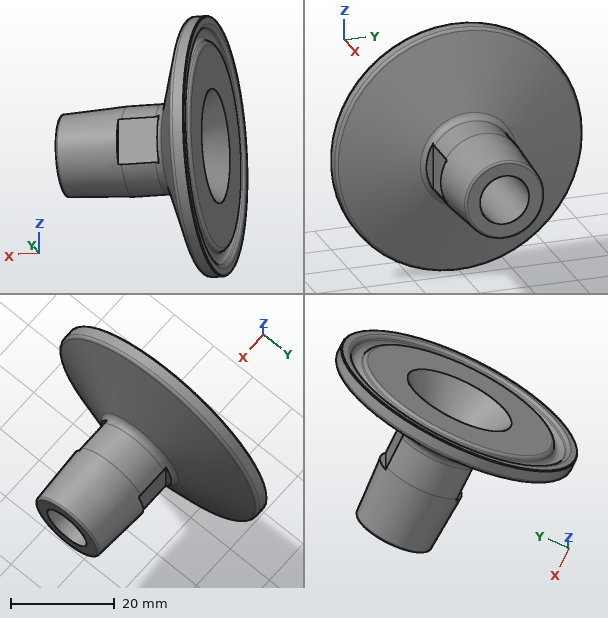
import cadquery as cq
import math

flange_radius = 25.25
length = 30.0

face_chamfer = 0.2
rim_end = 2.3
cone_start = 3.05
cone_start_radius = 24.75
cone_end = 8.45
cone_end_radius = 9.85

neck_start = 10.15
neck_end = 16.9
spigot_radius = 8.8
tip_radius = 8.05
tip_rounding = 0.45

flat_start = 9.45
flat_end = 17.5
flat_offset = 7.5

bore_radius = 5.0
mouth_radius = 11.1
mouth_depth = 8.0

groove_radius = 21.7
lip_half_width = 2.0
wall_angle = math.radians(70)
lip_rounding = 0.8
bottom_rounding = 1.2


def body():
    """Flange and spigot as one turned solid."""
    neck_run = neck_start - cone_end
    neck_drop = cone_end_radius - spigot_radius
    neck_rounding = (neck_run**2 + neck_drop**2) / (2 * neck_drop)
    half_angle = math.asin(neck_run / neck_rounding) / 2
    neck_middle = (
        neck_start - neck_rounding * math.sin(half_angle),
        spigot_radius + neck_rounding * (1 - math.cos(half_angle)),
    )
    outline = (
        cq.Workplane("XY")
        .lineTo(0, flange_radius - face_chamfer)
        .lineTo(face_chamfer, flange_radius)
        .lineTo(rim_end, flange_radius)
        .tangentArcPoint((cone_start, cone_start_radius), relative=False)
        .lineTo(cone_end, cone_end_radius)
        .threePointArc(neck_middle, (neck_start, spigot_radius))
        .lineTo(neck_end, spigot_radius)
        .lineTo(length, tip_radius)
        .lineTo(length, 0)
        .close()
    )
    turned = outline.revolve(360, (0, 0, 0), (1, 0, 0))
    return turned.faces(">X").edges().fillet(tip_rounding)


def bore():
    """Through bore with a conical mouth at the flange face."""
    return (
        cq.Workplane("XY")
        .lineTo(0, mouth_radius)
        .lineTo(mouth_depth, bore_radius)
        .lineTo(length, bore_radius)
        .lineTo(length, 0)
        .close()
        .revolve(360, (0, 0, 0), (1, 0, 0))
    )


def gasket_groove():
    """Ring groove in the flange face, symmetric about groove_radius."""
    half_angle = wall_angle / 2
    sine = math.sin(wall_angle)
    drop = 1 - math.cos(wall_angle)
    upper_half = lip_half_width - lip_rounding * sine
    upper_depth = lip_rounding * drop
    lower_half = bottom_rounding * sine
    lower_depth = upper_depth + (upper_half - lower_half) * math.tan(wall_angle)
    bottom_depth = lower_depth + bottom_rounding * drop
    lip_mid_half = lip_half_width - lip_rounding * math.sin(half_angle)
    lip_mid_depth = lip_rounding * (1 - math.cos(half_angle))
    return (
        cq.Workplane("XY")
        .moveTo(0, groove_radius - lip_half_width)
        .threePointArc((lip_mid_depth, groove_radius - lip_mid_half), (upper_depth, groove_radius - upper_half))
        .lineTo(lower_depth, groove_radius - lower_half)
        .threePointArc((bottom_depth, groove_radius), (lower_depth, groove_radius + lower_half))
        .lineTo(upper_depth, groove_radius + upper_half)
        .threePointArc((lip_mid_depth, groove_radius + lip_mid_half), (0, groove_radius + lip_half_width))
        .close()
        .revolve(360, (0, 0, 0), (1, 0, 0))
    )


def wrench_flat(side):
    """Block that cuts one flat; side is +1 for +Y and -1 for -Y."""
    flat_length = flat_end - flat_start
    block_depth = flange_radius - flat_offset
    return cq.Workplane("XY").box(flat_length, block_depth, 2 * flange_radius).translate(
        (flat_start + flat_length / 2, side * (flat_offset + block_depth / 2), 0)
    )


result = body().cut(bore()).cut(gasket_groove())
for flat_side in (1, -1):
    result = result.cut(wrench_flat(flat_side))